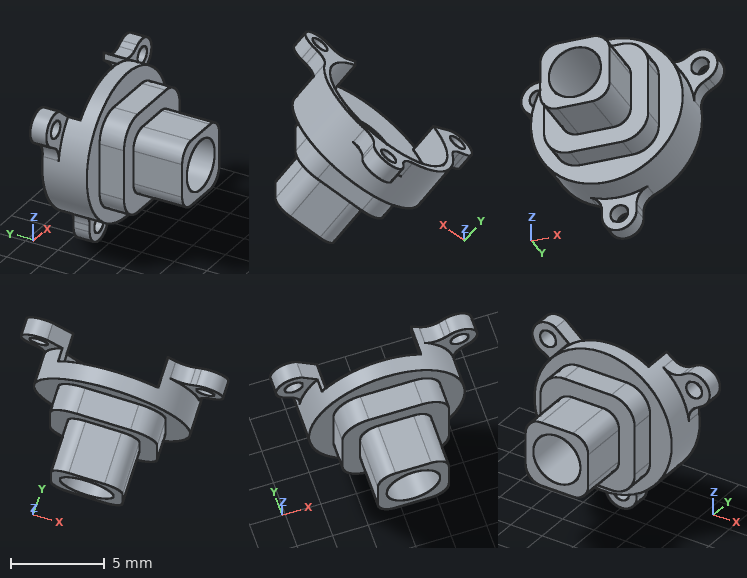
import cadquery as cq
import math

FLANGE_RADIUS = 8.75 / 2
FLANGE_LENGTH = 2.75
CUP_DEPTH = 1.75
CUP_WALL = 0.4
CUP_RADIUS = FLANGE_RADIUS - CUP_WALL

LARGE_SPIGOT_WIDTH = 6.0
LARGE_SPIGOT_CORNER = 1.5
LARGE_SPIGOT_LENGTH = 1.5
SMALL_SPIGOT_WIDTH = 4.0
SMALL_SPIGOT_CORNER = 1.0
SMALL_SPIGOT_LENGTH = 3.0
TOTAL_LENGTH = FLANGE_LENGTH + LARGE_SPIGOT_LENGTH + SMALL_SPIGOT_LENGTH
BORE_DIAMETER = 3.0

LUG_COUNT = 3
LUG_RADIUS = 1.0
LUG_CENTER_RADIUS = FLANGE_RADIUS + LUG_RADIUS
LUG_THICKNESS = 1.0
LUG_HOLE_DIAMETER = 1.0
LUG_FILLET = 1.0

WINDOW_RIGHT_X = 2.25
WINDOW_LEFT_ANGLE = 139.5
WINDOW_REACH = 2 * FLANGE_RADIUS


def section_plane(depth=0.0):
    """XZ plane at Y = -depth; positive extrusion runs toward -Y."""
    return cq.Workplane("XZ", origin=(0, -depth, 0))


def square_spigot(depth, width, corner, length):
    block = section_plane(depth).rect(width, width).extrude(length)
    return block.edges("|Y").fillet(corner)


def lug():
    """Lug below the flange, blended into the flange cylinder on both sides."""
    blend_x = LUG_RADIUS + LUG_FILLET
    blend_distance = FLANGE_RADIUS + LUG_FILLET
    blend_z = -math.sqrt(blend_distance**2 - blend_x**2)
    foot_x = blend_x * FLANGE_RADIUS / blend_distance
    foot_z = blend_z * FLANGE_RADIUS / blend_distance

    foot_angle = math.atan2(foot_z - blend_z, foot_x - blend_x)
    middle_angle = (foot_angle + math.pi) / 2
    middle_x = blend_x + LUG_FILLET * math.cos(middle_angle)
    middle_z = blend_z + LUG_FILLET * math.sin(middle_angle)

    outline = (
        section_plane()
        .moveTo(0, 0)
        .lineTo(foot_x, foot_z)
        .threePointArc((middle_x, middle_z), (LUG_RADIUS, blend_z))
        .lineTo(LUG_RADIUS, -LUG_CENTER_RADIUS)
        .threePointArc((0, -LUG_CENTER_RADIUS - LUG_RADIUS), (-LUG_RADIUS, -LUG_CENTER_RADIUS))
        .lineTo(-LUG_RADIUS, blend_z)
        .threePointArc((-middle_x, middle_z), (-foot_x, foot_z))
        .close()
    )
    hole = (
        section_plane()
        .center(0, -LUG_CENTER_RADIUS)
        .circle(LUG_HOLE_DIAMETER / 2)
        .extrude(LUG_THICKNESS)
    )
    return outline.extrude(LUG_THICKNESS).cut(hole)


def window():
    """Cutter from the radial left wall to the upright right wall."""
    left_angle = math.radians(WINDOW_LEFT_ANGLE)
    left_x = WINDOW_REACH * math.cos(left_angle)
    left_z = WINDOW_REACH * math.sin(left_angle)
    outline = [
        (0, 0),
        (WINDOW_RIGHT_X, 0),
        (WINDOW_RIGHT_X, WINDOW_REACH),
        (left_x, WINDOW_REACH),
        (left_x, left_z),
    ]
    return section_plane().polyline(outline).close().extrude(CUP_DEPTH)


body = section_plane().circle(FLANGE_RADIUS).extrude(FLANGE_LENGTH)
for index in range(LUG_COUNT):
    body = body.union(lug().rotate((0, 0, 0), (0, 1, 0), index * 360 / LUG_COUNT))

large_spigot = square_spigot(
    FLANGE_LENGTH, LARGE_SPIGOT_WIDTH, LARGE_SPIGOT_CORNER, LARGE_SPIGOT_LENGTH
)
small_spigot = square_spigot(
    FLANGE_LENGTH + LARGE_SPIGOT_LENGTH, SMALL_SPIGOT_WIDTH, SMALL_SPIGOT_CORNER, SMALL_SPIGOT_LENGTH
)
body = body.union(large_spigot).union(small_spigot)

cup = section_plane().circle(CUP_RADIUS).extrude(CUP_DEPTH)
bore = section_plane().circle(BORE_DIAMETER / 2).extrude(TOTAL_LENGTH)
result = body.cut(cup).cut(window()).cut(bore)